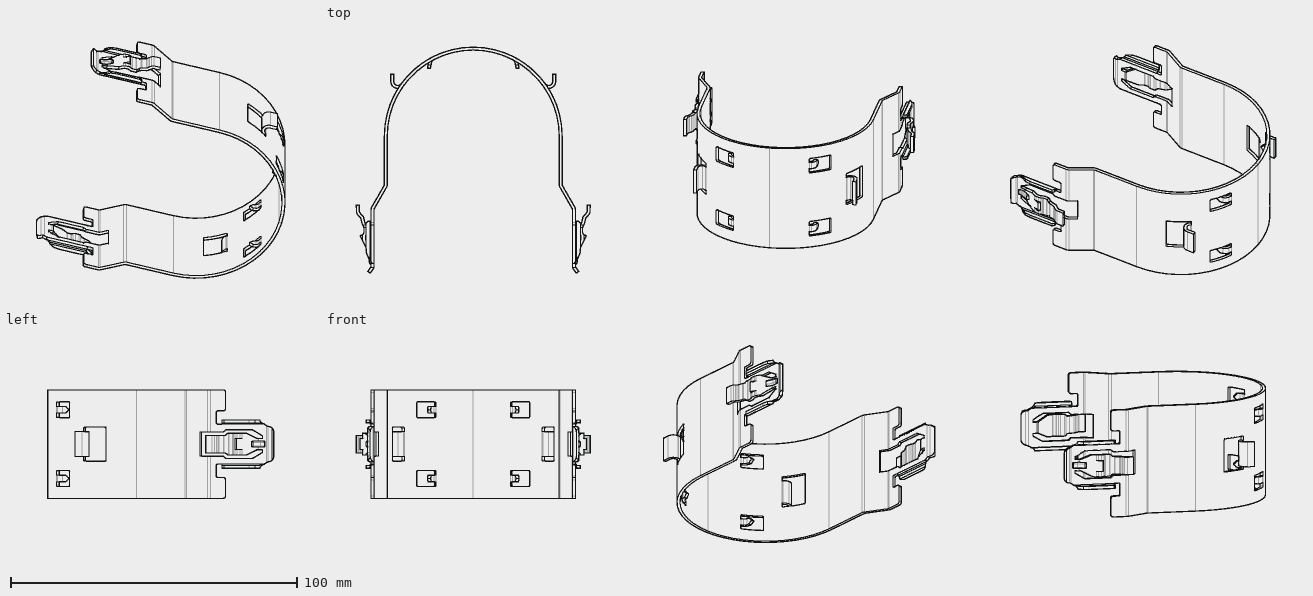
import cadquery as cq
import math

sheet = 1.1
band_height = 38.0
inner_radius = 30.0
outer_radius = inner_radius + sheet
mid_radius = inner_radius + sheet / 2

straight_end_y = -17.3
flare_end_y = -25.4
leg_outer_x = 35.75
leg_mid_x = leg_outer_x - sheet / 2
leg_inner_x = leg_outer_x - sheet
lip_bend_y = -45.9
lip_angle = 36.0
leg_end_y = -47.94
leg_bend = 1.4

wing_end_y = -31.1
wing_corner_radius = 0.9
notch_top_y = -27.85
notch_outer_z = 11.6
notch_radius = 0.5
tongue_half_width = 7.0
tongue_taper_y = -44.5
tongue_tip_shoulder_y = -45.9
tongue_tip_half_width = 6.2
tongue_tip_radius = 2.0

window_top_y = -22.45
window_neck_half = 4.2
window_half = 5.0
window_step = (-30.3, -31.2)
window_taper_y = -40.4
window_end = (-43.9, 2.9)

latch_root_y = -42.4
latch_foot_y = -44.5
latch_neck_half = 2.0
latch_half = 3.87
latch_handle_half = 3.1
latch_bend = 1.0
latch_neck_top_y = -42.1
latch_taper_y = -38.3
latch_shoulder = (-31.9, -31.0)
handle_tip_y = -24.1
barb_half = 1.9
barb_tip = (39.05, -34.6)
barb_shoulder_y = -36.4
latch_handle_path = [
    (38.2, -34.8),
    (37.65, -33.8),
    (37.65, -32.0),
    (38.4, -30.3),
    (38.85, -28.4),
    (39.65, -27.6),
    (40.3, -26.7),
]
latch_handle_x = 40.35

bead_half = 1.05
bead_edge_radius = 0.45
bead_foot_y = -45.2
bead_crest = [(36.3, -44.6), (36.4, -43.3), (37.4, -40.7), (36.7, -39.8)]

flange_inner_bend = 0.4
flange_top_x = 37.5
flange_start_y = -29.75
flange_corner = 0.7
flange_slope_y = -39.3
flange_break = (37.25, -41.3)
flange_end = (35.2, -44.6)

hook_angles = (20.2, 36.6)
hook_window_half = 5.9
hook_half = 4.4
hook_outer_x = 28.85
hook_top_y = 21.6
hook_bottom_y = 16.6
hook_bend = 1.95

finger_angles = (49.0, 64.3)
finger_level = 12.0
finger_window_half = 2.75
finger_half = 1.2
finger_bend = 1.9
finger_bend_x = 14.9
finger_tip_x = 15.5
finger_tip_y = 23.6
finger_point_y = 24.8
window_corner_radius = 0.4
window_clearance = 3.0

reach = 50.0
slack = 0.1


def bent_strip(path, bend, half_width, level=0.0):
    """Sheet strip whose mid line follows the open X-Y path, with corners bent to the mid radius."""
    def shifted(point, heading, offset):
        return (point[0] - offset * math.sin(heading), point[1] + offset * math.cos(heading))

    headings = [math.atan2(b[1] - a[1], b[0] - a[0]) for a, b in zip(path, path[1:])]

    def side(offset):
        """Start, bend arcs (start, middle, end) and end of one face of the strip."""
        pieces = []
        for corner, before, after in zip(path[1:-1], headings, headings[1:]):
            turn = after - before
            setback = bend * math.tan(abs(turn) / 2)
            bisector = (before + after) / 2
            centre_side = math.copysign(1, turn)
            start = (corner[0] - setback * math.cos(before), corner[1] - setback * math.sin(before))
            end = (corner[0] + setback * math.cos(after), corner[1] + setback * math.sin(after))
            centre = shifted(start, before, centre_side * bend)
            middle = shifted(centre, bisector, offset - centre_side * bend)
            pieces.append((shifted(start, before, offset), middle, shifted(end, after, offset)))
        return shifted(path[0], headings[0], offset), pieces, shifted(path[-1], headings[-1], offset)

    left_start, left_bends, left_end = side(sheet / 2)
    right_start, right_bends, right_end = side(-sheet / 2)
    outline = cq.Workplane("XY", origin=(0, 0, level - half_width)).moveTo(*left_start)
    for start, middle, end in left_bends:
        outline = outline.lineTo(*start).threePointArc(middle, end)
    outline = outline.lineTo(*left_end).lineTo(*right_end)
    for start, middle, end in reversed(right_bends):
        outline = outline.lineTo(*end).threePointArc(middle, start)
    return outline.lineTo(*right_start).close().extrude(2 * half_width)


def plate(outline, half_width, level=0.0):
    """X-Y outline extruded symmetrically along Z about the given level."""
    base = cq.Workplane("XY", origin=(0, 0, level - half_width))
    return base.polyline(outline).close().extrude(2 * half_width)


def side_prism(half_outline):
    """Y-Z outline, given for +Z and mirrored to -Z, extruded along +X."""
    mirrored = [(y, -z) for y, z in reversed(half_outline)]
    return cq.Workplane("YZ").polyline(half_outline + mirrored).close().extrude(reach)


def polar(radius, degrees):
    """X-Y point at a radius and angle about the band axis."""
    angle = math.radians(degrees)
    return (radius * math.cos(angle), radius * math.sin(angle))


def sector(angles, half_width, level=0.0):
    """Cutter through the band with radial end walls and rounded corners."""
    low, high = angles
    inside = inner_radius - window_clearance
    outside = outer_radius + window_clearance
    outline = [polar(inside, low), polar(outside, low), polar(outside, high), polar(inside, high)]
    return plate(outline, half_width, level).edges("not |Z").fillet(window_corner_radius)


def make_arc():
    """Quarter of the cylindrical band."""
    return (
        cq.Workplane("XY", origin=(0, 0, -band_height / 2))
        .moveTo(outer_radius, 0)
        .threePointArc(polar(outer_radius, 45), (0, outer_radius))
        .lineTo(0, inner_radius)
        .threePointArc(polar(inner_radius, 45), (inner_radius, 0))
        .close()
        .extrude(band_height)
    )


def make_leg():
    """Straight, flared and tongue runs of the strip, ending in a short outward lip."""
    lip = math.radians(lip_angle)
    lip_drop = leg_end_y + sheet / 2 * math.sin(lip) - lip_bend_y
    path = [
        (mid_radius, 0),
        (mid_radius, straight_end_y),
        (leg_mid_x, flare_end_y),
        (leg_mid_x, lip_bend_y),
        (leg_mid_x - lip_drop * math.tan(lip), lip_bend_y + lip_drop),
    ]
    blank = bent_strip(path, leg_bend, band_height / 2)
    return blank.intersect(leg_outline()).cut(tongue_window())


def leg_outline():
    """Two wings and the central tongue, with rounded corners."""
    half_height = band_height / 2
    outline = side_prism([
        (0, half_height),
        (wing_end_y, half_height),
        (wing_end_y, notch_outer_z),
        (notch_top_y, notch_outer_z),
        (notch_top_y, tongue_half_width),
        (tongue_taper_y, tongue_half_width),
        (tongue_tip_shoulder_y, tongue_tip_half_width),
        (leg_end_y, tongue_tip_half_width),
    ])
    corners = [
        (wing_end_y, wing_corner_radius),
        (notch_top_y, notch_radius),
        (leg_end_y, tongue_tip_radius),
    ]
    for y, radius in corners:
        at_level = cq.selectors.BoxSelector((-slack, y - slack, -reach), (reach + slack, y + slack, reach))
        outline = outline.edges("|X").edges(at_level).fillet(radius)
    return outline


def tongue_window():
    """Window whose top wall stands square to the flared run."""
    window = side_prism([
        (straight_end_y, window_neck_half),
        (window_step[0], window_neck_half),
        (window_step[1], window_half),
        (window_taper_y, window_half),
        window_end,
    ])
    flare = (leg_mid_x - mid_radius) / (straight_end_y - flare_end_y)
    top_x = mid_radius + flare * (straight_end_y - window_top_y)
    below_top = [
        (top_x - window_clearance, window_top_y - flare * window_clearance),
        (top_x + window_clearance, window_top_y + flare * window_clearance),
        (top_x + window_clearance, leg_end_y),
        (top_x - window_clearance, leg_end_y),
    ]
    return window.intersect(plate(below_top, band_height / 2))


def make_latch():
    """Spring latch: sloped barb, step back to a flat, then a handle curving outward."""
    barb_slope = (barb_tip[0] - leg_mid_x) / (barb_tip[1] - latch_root_y)
    shoulder_x = leg_mid_x + barb_slope * (barb_shoulder_y - latch_root_y)
    path = [
        (leg_mid_x, latch_foot_y),
        (leg_mid_x, latch_root_y),
        (shoulder_x, barb_shoulder_y),
        *latch_handle_path,
        (latch_handle_x, handle_tip_y),
    ]
    body = bent_strip(path, latch_bend, latch_half)
    barb = bent_strip([(leg_mid_x, latch_root_y), barb_tip], latch_bend, barb_half)
    return body.union(barb).intersect(latch_outline()).union(make_bead())


def latch_outline():
    """Handle, wide barb and the taper down to the neck."""
    return side_prism([
        (handle_tip_y + sheet, latch_handle_half),
        (latch_shoulder[1], latch_handle_half),
        (latch_shoulder[0], latch_half),
        (latch_taper_y, latch_half),
        (latch_neck_top_y, latch_neck_half),
        (latch_foot_y, latch_neck_half),
    ])


def make_bead():
    """Rib bridging the outer side of the bend between tongue and barb."""
    outline = [(leg_mid_x, bead_foot_y), *bead_crest, (leg_mid_x, latch_root_y)]
    return plate(outline, bead_half).faces("<Z or >Z").edges().fillet(bead_edge_radius)


def make_flange():
    """Edge of the tongue at +Z turned outward through a right angle."""
    bend_x = leg_outer_x + flange_inner_bend
    outer_bend = flange_inner_bend + sheet
    outer_z = tongue_half_width + outer_bend
    section = (
        cq.Workplane("XZ")
        .moveTo(leg_outer_x, tongue_half_width)
        .radiusArc((bend_x, outer_z - sheet), -flange_inner_bend)
        .lineTo(flange_top_x, outer_z - sheet)
        .lineTo(flange_top_x, outer_z)
        .lineTo(bend_x, outer_z)
        .radiusArc((leg_inner_x, tongue_half_width), outer_bend)
        .close()
        .extrude(reach)
    )
    outline = [
        (leg_inner_x, flange_start_y),
        (flange_top_x - flange_corner, flange_start_y),
        (flange_top_x, flange_start_y - flange_corner),
        (flange_top_x, flange_slope_y),
        flange_break,
        flange_end,
        (leg_inner_x, flange_end[1]),
    ]
    return section.intersect(plate(outline, band_height / 2))


def make_hook():
    """Tab that leaves the band along its tangent, turns outward and then runs straight in +Y."""
    root_x, root_y = polar(mid_radius, hook_angles[1])
    base_y = hook_bottom_y + sheet / 2
    stem_x = hook_outer_x - sheet / 2
    path = [
        (root_x, root_y),
        (root_x + (root_y - base_y) * math.tan(math.radians(hook_angles[1])), base_y),
        (stem_x, base_y),
        (stem_x, hook_top_y),
    ]
    return bent_strip(path, hook_bend, hook_half)


def make_finger(level):
    """Pointed tab that leaves the band along its tangent and turns into the clamped space."""
    root_x, root_y = polar(mid_radius, finger_angles[1])
    bend_y = root_y - (finger_bend_x - root_x) / math.tan(math.radians(finger_angles[1]))
    path = [(root_x, root_y), (finger_bend_x, bend_y), (finger_tip_x, finger_tip_y)]
    strip = bent_strip(path, finger_bend, finger_half, level)
    tip = [
        (reach, finger_half),
        (finger_point_y, finger_half),
        (finger_tip_y, 0),
        (finger_point_y, -finger_half),
        (reach, -finger_half),
    ]
    return strip.intersect(cq.Workplane("YZ", origin=(0, 0, level)).polyline(tip).close().extrude(reach))


def make_half():
    half = make_arc().cut(sector(hook_angles, hook_window_half))
    for level in (-finger_level, finger_level):
        half = half.cut(sector(finger_angles, finger_window_half, level))
        half = half.union(make_finger(level))
    flange = make_flange()
    half = half.union(make_hook()).union(make_leg()).union(make_latch())
    return half.union(flange).union(flange.mirror("XY"))


half = make_half()
result = half.union(half.mirror("YZ"), clean=False)